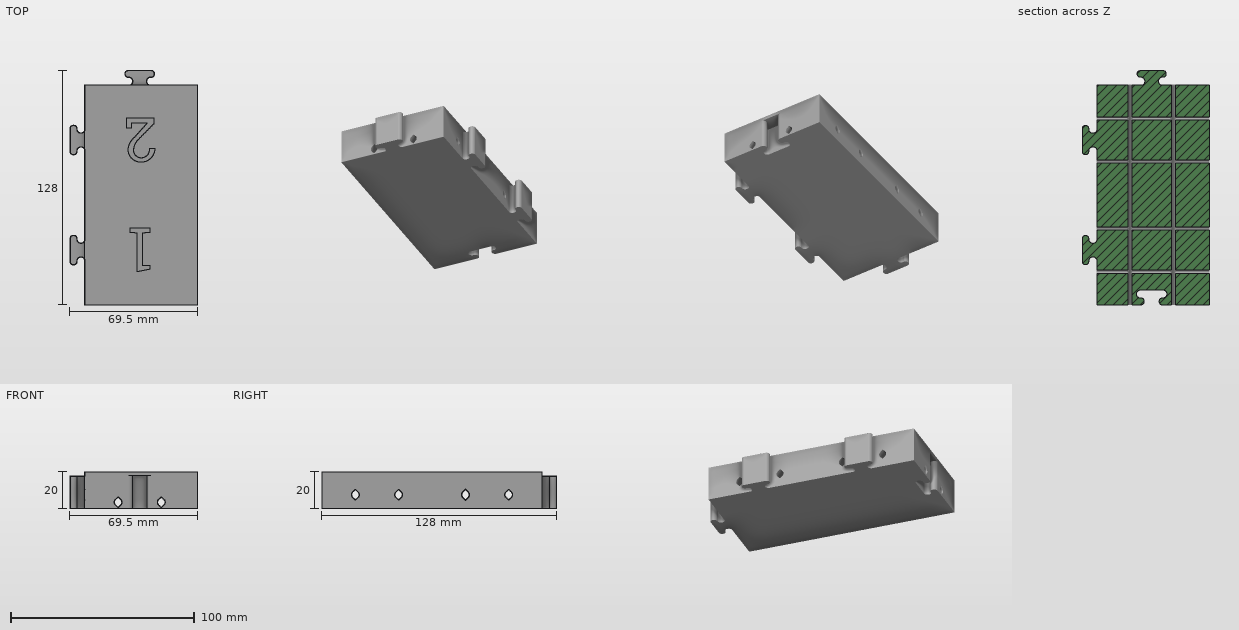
import cadquery as cq
import math


overall_width = 69.5
overall_length = 128.0
tail_length = 7.9
block_width = overall_width - tail_length
block_length = overall_length - tail_length
block_height = 20.0
cell = block_length / 2
cell_middle = cell / 2
cell_centers_y = [cell_middle, cell_middle + cell]

fit_gap = 0.1
socket_depth = tail_length + fit_gap
half_thickness = socket_depth / 4
neck_width = 7.9
head_width = 16.4
rounding = 1.9
tail_height = 17.7
socket_height = 17.9

hole_radius = 2.0
hole_point = hole_radius * math.sqrt(2)
hole_spacing = 23.5
cross_hole_z = 7.5
long_hole_z = 3.5

inlay_depth = 1.3
numeral_foot_y = -12.0


def t_profile(inset):
    """T-shaped outline on a base along X, growing toward +Y; inset shrinks the socket outline."""
    neck_radius = rounding + inset
    head_radius = rounding - inset
    neck_center_x = neck_width / 2 + rounding
    head_center_x = head_width / 2 - rounding
    root_center_y = rounding
    neck_center_y = 2 * half_thickness - rounding
    jaw_center_y = 2 * half_thickness + rounding
    crown_center_y = socket_depth - rounding

    root_x = neck_center_x - math.sqrt(neck_radius**2 - rounding**2)
    neck_x = neck_center_x - neck_radius
    head_x = head_center_x + head_radius
    shoulder_y = neck_center_y + neck_radius
    top_y = crown_center_y + head_radius
    diagonal = math.sqrt(0.5)
    root_angle = math.atan2(root_center_y, neck_center_x - root_x) / 2
    root_middle = (
        neck_center_x - neck_radius * math.cos(root_angle),
        root_center_y - neck_radius * math.sin(root_angle),
    )
    neck_middle = (neck_center_x - neck_radius * diagonal, neck_center_y + neck_radius * diagonal)
    jaw_middle = (head_center_x + head_radius * diagonal, jaw_center_y - head_radius * diagonal)
    crown_middle = (head_center_x + head_radius * diagonal, crown_center_y + head_radius * diagonal)
    return (
        cq.Workplane("XY")
        .lineTo(root_x, 0)
        .threePointArc(root_middle, (neck_x, root_center_y))
        .lineTo(neck_x, neck_center_y)
        .threePointArc(neck_middle, (neck_center_x, shoulder_y))
        .lineTo(head_center_x, shoulder_y)
        .threePointArc(jaw_middle, (head_x, jaw_center_y))
        .lineTo(head_x, crown_center_y)
        .threePointArc(crown_middle, (head_center_x, top_y))
        .lineTo(0, top_y)
        .mirrorY()
    )


def pin_hole(plane, across, z, length):
    """Round hole drawn out to 45-degree points above and below, starting on a side face."""
    tangent = hole_radius / math.sqrt(2)
    return (
        cq.Workplane(plane)
        .moveTo(across, z + hole_point)
        .lineTo(across + tangent, z + tangent)
        .threePointArc((across + hole_radius, z), (across + tangent, z - tangent))
        .lineTo(across, z - hole_point)
        .lineTo(across - tangent, z - tangent)
        .threePointArc((across - hole_radius, z), (across - tangent, z + tangent))
        .close()
        .extrude(length)
    )


def place_numeral(outline, center_y):
    """Sink an upright numeral into the top of a cell so that it reads from the +Y side."""
    numeral = outline.close().extrude(inlay_depth)
    return (
        numeral.rotate((0, 0, 0), (0, 0, 1), 180)
        .translate((cell_middle, center_y, block_height - inlay_depth))
    )


def make_numeral_one():
    stem_left = -1.7
    stem_right = 1.4
    foot_left = -5.6
    foot_right = 5.4
    foot_top = -9.7
    stem_bottom = -9.3
    flag_bottom = 8.3
    flag_top = 10.4
    stem_top = 11.8
    outline = (
        cq.Workplane("XY")
        .moveTo(foot_left, numeral_foot_y)
        .lineTo(foot_right, numeral_foot_y)
        .lineTo(foot_right, foot_top)
        .lineTo(stem_right, stem_bottom)
        .lineTo(stem_right, stem_top)
        .lineTo(foot_left, flag_top)
        .lineTo(foot_left, flag_bottom)
        .lineTo(stem_left, flag_bottom)
        .lineTo(stem_left, stem_bottom)
        .lineTo(foot_left, foot_top)
    )
    return place_numeral(outline, cell_centers_y[0])


def make_numeral_two():
    outline = (
        cq.Workplane("XY")
        .moveTo(-7.9, numeral_foot_y)
        .lineTo(7.2, numeral_foot_y)
        .lineTo(7.2, -6.5)
        .lineTo(4.4, -6.5)
        .lineTo(4.4, -9.2)
        .lineTo(-4.1, -9.2)
        .lineTo(2.7, -1.7)
        .threePointArc((5.4, 1.7), (6.4, 5.1))
        .threePointArc((4.4, 10.0), (-0.5, 12.0))
        .threePointArc((-6.0, 10.0), (-8.3, 4.7))
        .lineTo(-5.2, 4.7)
        .threePointArc((-4.0, 8.5), (-0.8, 9.7))
        .threePointArc((2.2, 8.5), (3.3, 5.1))
        .threePointArc((2.5, 2.3), (0.6, -0.4))
        .lineTo(-7.9, -9.1)
    )
    return place_numeral(outline, cell_centers_y[1])


def make_block(inlays):
    block = cq.Workplane("XY").box(block_width, block_length, block_height, centered=False)

    tail = t_profile(fit_gap).extrude(tail_height)
    block = block.union(tail.translate((cell_middle, block_length, 0)))
    side_tail = tail.rotate((0, 0, 0), (0, 0, 1), 90)
    for center_y in cell_centers_y:
        block = block.union(side_tail.translate((0, center_y, 0)))

    socket = t_profile(0).extrude(socket_height)
    block = block.cut(socket.translate((cell_middle, 0, 0)))

    for side in (-hole_spacing / 2, hole_spacing / 2):
        block = block.cut(pin_hole("XZ", cell_middle + side, long_hole_z, -block_length))
        for center_y in cell_centers_y:
            block = block.cut(pin_hole("YZ", center_y + side, cross_hole_z, block_width))

    for inlay in inlays:
        block = block.cut(inlay)
    return block


numeral_one = make_numeral_one()
numeral_two = make_numeral_two()
block = make_block([numeral_one, numeral_two])

result = cq.Compound.makeCompound([block.solids().val(), numeral_one.val(), numeral_two.val()])